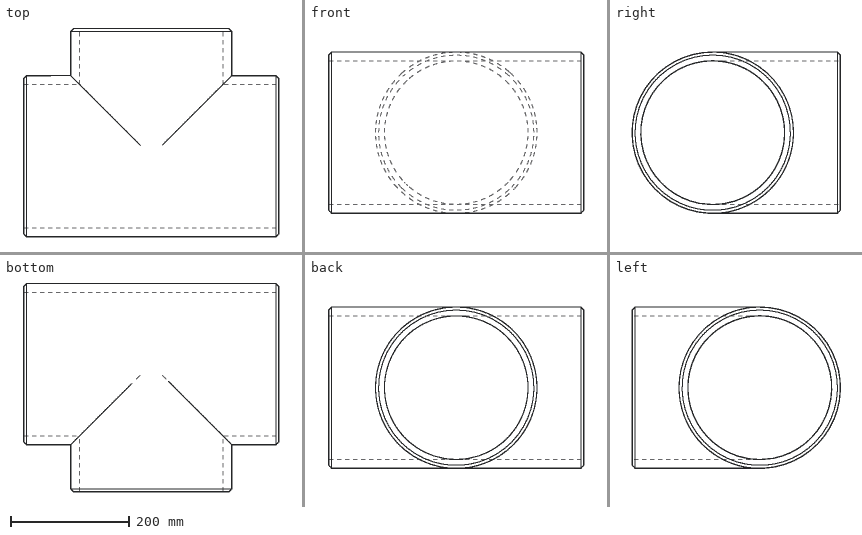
import cadquery as cq

run_length = 432.0
outer_diameter = 273.0
bore_diameter = 242.5
branch_reach = run_length / 2

bevel_axial = 5.0
bevel_radial = 5.0


def bevelled_end(plane, length):
    """Solid pipe arm along the plane normal, bevelled at its far end."""
    outer_radius = outer_diameter / 2
    straight = cq.Workplane(plane).circle(outer_radius).extrude(length)
    return straight.faces(cq.selectors.DirectionMinMaxSelector(plane.zDir, True)).edges().chamfer(
        bevel_axial, bevel_radial
    )


def bore(plane, length):
    """Cylinder that clears the inside of one pipe arm."""
    return cq.Workplane(plane).circle(bore_diameter / 2).extrude(length)


arms = [
    (cq.Plane(origin=(0, 0, 0), xDir=(0, 0, 1), normal=(1, 0, 0)), run_length / 2),
    (cq.Plane(origin=(0, 0, 0), xDir=(0, 0, 1), normal=(-1, 0, 0)), run_length / 2),
    (cq.Plane(origin=(0, 0, 0), xDir=(0, 0, 1), normal=(0, 1, 0)), branch_reach),
]

body = cq.Workplane("XY")
for plane, length in arms:
    body = body.union(bevelled_end(plane, length))

for plane, length in arms:
    body = body.cut(bore(plane, length))

result = body